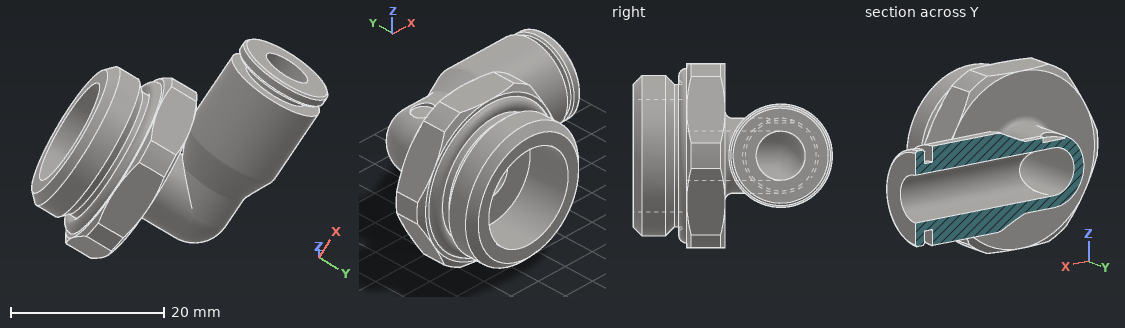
import cadquery as cq
import math


elbow_radius = 4.9
bore_radius = 3.2
mark_radius = 1.75
mark_floor_height = 4.25

hex_across_flats = 24.0
hex_corner_radius = 13.0
hex_top_y = -7.25
hex_height = 5.0
hex_chamfer_start_radius = hex_across_flats / 2
hex_chamfer_angle = 30.0
foot_fillet_radius = 1.0

ring_outer_radius = 11.4
neck_radius = 9.3
neck_height = 1.6
thread_radius = 10.475
thread_chamfer = thread_radius - neck_radius
stud_end_y = -19.25
socket_radius = 7.35

cone_start_x = 4.75
cone_end_x = 8.85
body_radius = 6.75
body_end_x = 19.85
cone_start_blend_radius = 1.0
cone_end_blend_radius = 1.3
release_neck_radius = 4.6
release_collar_radius = 6.5
release_collar_x = 21.0
connector_end_x = 22.6
collar_edge_chamfer = 0.3

hex_bottom_y = hex_top_y - hex_height
socket_floor_y = hex_bottom_y


def cylinder_along_y(radius, y_from, y_to):
    return cq.Workplane("XZ", origin=(0, y_from, 0)).circle(radius).extrude(y_from - y_to)


def cylinder_along_x(radius, x_from, x_to):
    return cq.Workplane("YZ", origin=(x_from, 0, 0)).circle(radius).extrude(x_to - x_from)


def revolve_about_y(profile):
    return profile.close().revolve(360, (0, 0, 0), (0, 1, 0))


def elbow_volume(radius, leg_end_y, branch_end_x):
    """Two round legs at right angles, joined by a ball at the origin."""
    leg = cylinder_along_y(radius, 0, leg_end_y)
    branch = cylinder_along_x(radius, 0, branch_end_x)
    return cq.Workplane("XY").sphere(radius).union(leg).union(branch)


def hex_collar():
    """Hexagon with flats on +Z and -Z, its corners turned down and chamfered at both faces."""
    hex_sides = 6
    across_corners = hex_across_flats / math.cos(math.pi / hex_sides)
    hexagon = (
        cq.Workplane("XZ", origin=(0, hex_top_y, 0))
        .polygon(hex_sides, across_corners)
        .extrude(hex_height)
    )
    chamfer_radial = hex_corner_radius - hex_chamfer_start_radius
    chamfer_height = chamfer_radial * math.tan(math.radians(hex_chamfer_angle))
    turned_envelope = revolve_about_y(
        cq.Workplane("XY")
        .moveTo(0, hex_top_y)
        .lineTo(hex_chamfer_start_radius, hex_top_y)
        .lineTo(hex_corner_radius, hex_top_y - chamfer_height)
        .lineTo(hex_corner_radius, hex_bottom_y + chamfer_height)
        .lineTo(hex_chamfer_start_radius, hex_bottom_y)
        .lineTo(0, hex_bottom_y)
    )
    return hexagon.intersect(turned_envelope)


def foot_fillet():
    """Concave ring that blends the elbow leg into the hexagon."""
    return revolve_about_y(
        cq.Workplane("XY")
        .moveTo(0, hex_top_y)
        .lineTo(elbow_radius + foot_fillet_radius, hex_top_y)
        .radiusArc((elbow_radius, hex_top_y + foot_fillet_radius), foot_fillet_radius)
        .lineTo(0, hex_top_y + foot_fillet_radius)
    )


def sealing_ring():
    """Round-section ring around the neck, sunk to half its section in the hexagon's lower face."""
    section_radius = (ring_outer_radius - neck_radius) / 2
    ring_centre_radius = neck_radius + section_radius
    section = cq.Workplane("XY").moveTo(ring_centre_radius, hex_bottom_y).circle(section_radius)
    return section.revolve(360, (0, 0, 0), (0, 1, 0))


def threaded_end():
    """Neck and plain thread cylinder, chamfered at 45 degrees at both ends."""
    neck_end_y = hex_bottom_y - neck_height
    return revolve_about_y(
        cq.Workplane("XY")
        .moveTo(0, hex_bottom_y)
        .lineTo(neck_radius, hex_bottom_y)
        .lineTo(neck_radius, neck_end_y)
        .lineTo(thread_radius, neck_end_y - thread_chamfer)
        .lineTo(thread_radius, stud_end_y + thread_chamfer)
        .lineTo(neck_radius, stud_end_y)
        .lineTo(0, stud_end_y)
    )


def circles_at_x(x):
    """Selects the round edges that lie in the plane at this X."""
    margin = 0.1
    reach = body_radius + margin
    return cq.selectors.BoxSelector((x - margin, -reach, -reach), (x + margin, reach, reach))


def connector_body():
    """Branch of the elbow that widens over a cone into the tube connector, both cone ends blended."""
    body = (
        cq.Workplane("XY")
        .lineTo(0, elbow_radius)
        .lineTo(cone_start_x, elbow_radius)
        .lineTo(cone_end_x, body_radius)
        .lineTo(body_end_x, body_radius)
        .lineTo(body_end_x, 0)
        .close()
        .revolve(360, (0, 0, 0), (1, 0, 0))
    )
    body = body.edges("%CIRCLE").edges(circles_at_x(cone_start_x)).fillet(cone_start_blend_radius)
    return body.edges("%CIRCLE").edges(circles_at_x(cone_end_x)).fillet(cone_end_blend_radius)


def release_sleeve():
    """Push-in release sleeve: a narrow neck and a chamfered collar at the tube entry."""
    neck = cylinder_along_x(release_neck_radius, body_end_x, release_collar_x)
    collar = cylinder_along_x(release_collar_radius, release_collar_x, connector_end_x)
    return neck.union(collar.edges("%CIRCLE").chamfer(collar_edge_chamfer))


def marking_recess():
    """Round, flat-floored recess in the +Z side of the elbow corner."""
    depth_to_clear = elbow_radius - mark_floor_height
    return cq.Workplane("XY", origin=(0, 0, mark_floor_height)).circle(mark_radius).extrude(depth_to_clear)


outside = (
    elbow_volume(elbow_radius, hex_top_y, cone_start_x)
    .union(foot_fillet())
    .union(hex_collar())
    .union(sealing_ring())
    .union(threaded_end())
    .union(connector_body())
    .union(release_sleeve())
)
stud_socket = cylinder_along_y(socket_radius, socket_floor_y, stud_end_y)
flow_passage = elbow_volume(bore_radius, stud_end_y, connector_end_x)

result = outside.cut(stud_socket).cut(flow_passage).cut(marking_recess())